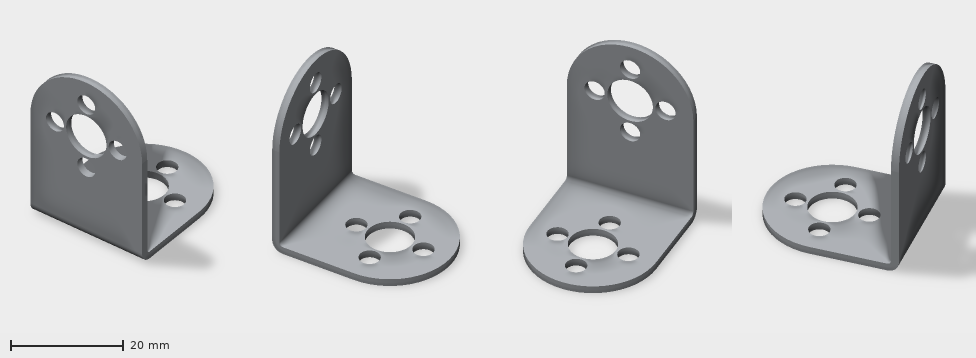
import cadquery as cq

width = 25.0
depth = 29.5
height = 35.0
thickness = 1.5
bend_inner_radius = 0.75
bend_outer_radius = bend_inner_radius + thickness

bore_diameter = 9.0
screw_diameter = 4.0
screw_offset = 7.0
upright_pattern_height = 23.0
end_radius = width / 2
base_pattern_depth = depth - end_radius


def flange_outline(plane, length):
    """Profile of a flange with a fully rounded far end, starting at the bend corner."""
    straight = length - end_radius
    return (
        cq.Workplane(plane)
        .moveTo(-width / 2, 0)
        .lineTo(width / 2, 0)
        .lineTo(width / 2, straight)
        .threePointArc((0, length), (-width / 2, straight))
        .close()
    )


def hole_pattern(plane, center_distance):
    """Central bore with four screw holes around it, cutting both ways from the plane."""
    screw_centers = [
        (screw_offset, center_distance),
        (-screw_offset, center_distance),
        (0, center_distance + screw_offset),
        (0, center_distance - screw_offset),
    ]
    bore = (
        cq.Workplane(plane)
        .center(0, center_distance)
        .circle(bore_diameter / 2)
        .extrude(thickness, both=True)
    )
    screws = (
        cq.Workplane(plane)
        .pushPoints(screw_centers)
        .circle(screw_diameter / 2)
        .extrude(thickness, both=True)
    )
    return bore.union(screws)


base = flange_outline("XY", depth).extrude(thickness)
upright = flange_outline("XZ", height).extrude(-thickness)
bracket = base.union(upright)

inner_corner = cq.selectors.NearestToPointSelector((0, thickness, thickness))
outer_corner = cq.selectors.NearestToPointSelector((0, 0, 0))
bracket = bracket.edges(inner_corner).fillet(bend_inner_radius)
bracket = bracket.edges(outer_corner).fillet(bend_outer_radius)

result = bracket.cut(hole_pattern("XY", base_pattern_depth))
result = result.cut(hole_pattern("XZ", upright_pattern_height))